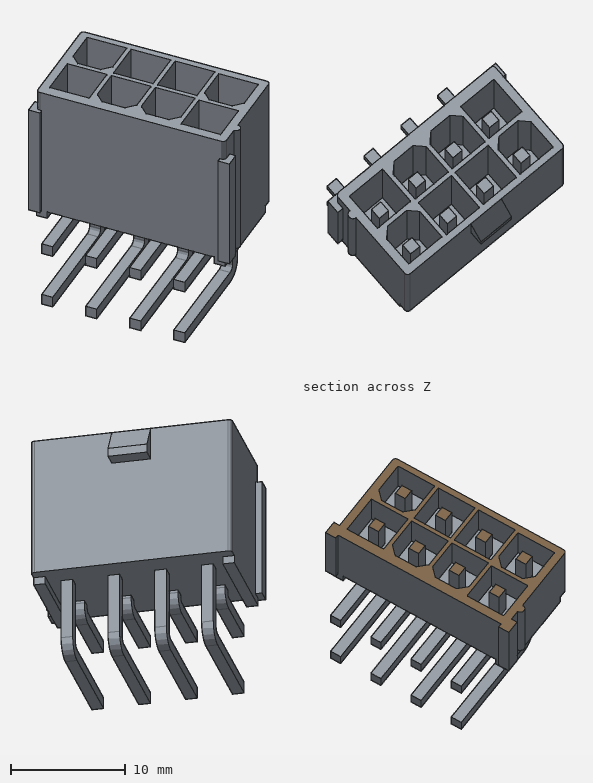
import cadquery as cq


OVERALL_LENGTH = 19.2
OVERALL_DEPTH = 14.7
OVERALL_HEIGHT = 19.93

PITCH = 4.2
COLUMNS = 4
COLUMN_X = [PITCH * (i - (COLUMNS - 1) / 2) for i in range(COLUMNS)]
BACK_ROW_Y = PITCH / 2
FRONT_ROW_Y = -PITCH / 2

HOUSING_LENGTH = 18.02
HOUSING_BACK_Y = 4.75
HOUSING_FRONT_Y = -4.88
HOUSING_HEIGHT = 12.8
CORNER_RADIUS = 0.34
HALF_LENGTH = HOUSING_LENGTH / 2

CAVITY_SIDE = 3.79
CAVITY_DEPTH = 9.96
CAVITY_CHAMFER = 0.8
CAVITY_OFFSET_Y = 0.12
BACK_ROW_CHAMFERED = [True, False, False, True]
FRONT_ROW_CHAMFERED = [False, True, True, False]
CAVITY_FLOOR_Z = HOUSING_HEIGHT - CAVITY_DEPTH

RAIL_OUTER_X = OVERALL_LENGTH / 2
RAIL_WIDTH = 1.1
RAIL_FRONT_Y = -5.26
RAIL_DEPTH = 1.35
RAIL_HEIGHT = 10.86

FOOT_WIDTH = 1.04
FOOT_BACK_Y = 3.75
FOOT_HEIGHT = 0.7

LATCH_WIDTH = 3.49
LATCH_REACH = 1.38
LATCH_BOTTOM_Z = 9.8
LATCH_EDGE_Z = 10.58

KEY_RADIUS = 0.42
KEY_Y = -2.57

PIN_SIDE = 1.05
PIN_LENGTH_IN_CAVITY = 5.98
PIN_END_Y = HOUSING_BACK_Y + LATCH_REACH - OVERALL_DEPTH
BACK_PIN_BOTTOM_Z = HOUSING_HEIGHT - OVERALL_HEIGHT
FRONT_PIN_BOTTOM_Z = -1.63
BACK_BEND_RADIUS = 0.52
FRONT_BEND_RADIUS = 0.34


def box(x_range, y_range, z_range):
    """Axis-aligned box between the given limits."""
    lows, highs = zip(x_range, y_range, z_range)
    sizes = [high - low for low, high in zip(lows, highs)]
    return cq.Workplane("XY").box(*sizes, centered=False).translate(lows)


def housing():
    """Plain block with rounded upright edges."""
    block = box(
        (-HALF_LENGTH, HALF_LENGTH),
        (HOUSING_FRONT_Y, HOUSING_BACK_Y),
        (0, HOUSING_HEIGHT),
    )
    return block.edges("|Z").fillet(CORNER_RADIUS)


def cavity(x, y, chamfered):
    """Square socket opening, optionally with its two front corners cut off."""
    socket = (
        cq.Workplane("XY", origin=(x, y, CAVITY_FLOOR_Z))
        .rect(CAVITY_SIDE, CAVITY_SIDE)
        .extrude(CAVITY_DEPTH)
    )
    if chamfered:
        socket = socket.faces("<Y").edges("|Z").chamfer(CAVITY_CHAMFER)
    return socket


def pin(x, row_y, bottom_z, bend_radius):
    """Square pin rising into its cavity, bent at the bottom toward -Y."""
    back_y = row_y + PIN_SIDE / 2
    front_y = row_y - PIN_SIDE / 2
    tip_z = CAVITY_FLOOR_Z + PIN_LENGTH_IN_CAVITY
    top_of_tail_z = bottom_z + PIN_SIDE
    outer_radius = bend_radius + PIN_SIDE
    return (
        cq.Workplane("YZ", origin=(x - PIN_SIDE / 2, 0, 0))
        .moveTo(back_y, tip_z)
        .lineTo(back_y, bottom_z + outer_radius)
        .radiusArc((back_y - outer_radius, bottom_z), outer_radius)
        .lineTo(PIN_END_Y, bottom_z)
        .lineTo(PIN_END_Y, top_of_tail_z)
        .lineTo(front_y - bend_radius, top_of_tail_z)
        .radiusArc((front_y, top_of_tail_z + bend_radius), -bend_radius)
        .lineTo(front_y, tip_z)
        .close()
        .extrude(PIN_SIDE)
    )


def end_supports():
    """Rail and foot at the -X end."""
    rail = box(
        (-RAIL_OUTER_X, -RAIL_OUTER_X + RAIL_WIDTH),
        (RAIL_FRONT_Y, RAIL_FRONT_Y + RAIL_DEPTH),
        (0, RAIL_HEIGHT),
    )
    foot = box(
        (-HALF_LENGTH, -HALF_LENGTH + FOOT_WIDTH),
        (HOUSING_FRONT_Y, FOOT_BACK_Y),
        (-FOOT_HEIGHT, 0),
    )
    return rail.union(foot)


def latch():
    """Ramp that slopes out from the top of the back face."""
    outer_y = HOUSING_BACK_Y + LATCH_REACH
    profile = [
        (HOUSING_BACK_Y, HOUSING_HEIGHT),
        (outer_y, LATCH_EDGE_Z),
        (outer_y, LATCH_BOTTOM_Z),
        (HOUSING_BACK_Y, LATCH_BOTTOM_Z),
    ]
    return (
        cq.Workplane("YZ", origin=(-LATCH_WIDTH / 2, 0, 0))
        .polyline(profile)
        .close()
        .extrude(LATCH_WIDTH)
    )


def key():
    """Upright rib centred on the +X face, so that half of it stands out."""
    return (
        cq.Workplane("XY", origin=(HALF_LENGTH, KEY_Y, 0))
        .circle(KEY_RADIUS)
        .extrude(HOUSING_HEIGHT)
    )


supports = end_supports()
body = housing().union(supports).union(supports.mirror("YZ")).union(latch()).union(key())

for column, x in enumerate(COLUMN_X):
    offset_y = 0.0 if column == COLUMNS - 1 else CAVITY_OFFSET_Y
    body = body.cut(cavity(x, BACK_ROW_Y + offset_y, BACK_ROW_CHAMFERED[column]))
    body = body.cut(cavity(x, FRONT_ROW_Y + offset_y, FRONT_ROW_CHAMFERED[column]))

for x in COLUMN_X:
    body = body.union(pin(x, BACK_ROW_Y, BACK_PIN_BOTTOM_Z, BACK_BEND_RADIUS))
    body = body.union(pin(x, FRONT_ROW_Y, FRONT_PIN_BOTTOM_Z, FRONT_BEND_RADIUS))

result = body